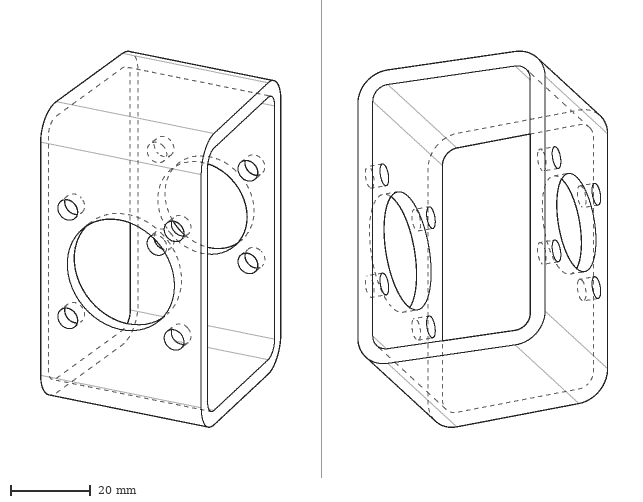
import cadquery as cq

height = 80.0
depth = 50.0
front_width = 45.0
back_width = 40.0
wall = 4.0
outer_radius = 8.0
inner_radius = outer_radius - wall

front_bore = 30.0
back_bore = 25.0
screw_hole = 5.5
front_spacing = 29.8
back_spacing = 25.4

front_y = -depth / 2
back_y = depth / 2


def rounded_bar(size_y, size_z, radius):
    """Solid bar along X, centred on the origin, with rounded long edges."""
    return cq.Workplane("XY").box(front_width, size_y, size_z).edges("|X").fillet(radius)


def tapered_envelope():
    """Trapezoid in XY, wide at the front and narrow at the back."""
    return (
        cq.Workplane("XY")
        .polyline([
            (-front_width / 2, front_y),
            (front_width / 2, front_y),
            (back_width / 2, back_y),
            (-back_width / 2, back_y),
        ])
        .close()
        .extrude(height / 2, both=True)
    )


def wall_cutters(outer_y, bore, spacing):
    """Central bore and four screw holes, running from a wall's outer face to mid-depth."""
    plane = cq.Workplane("XZ")
    length = -outer_y
    bore_cutter = plane.circle(bore / 2).extrude(length)
    screw_cutters = (
        plane.rect(spacing, spacing, forConstruction=True)
        .vertices()
        .circle(screw_hole / 2)
        .extrude(length)
    )
    return bore_cutter.union(screw_cutters)


outer = rounded_bar(depth, height, outer_radius)
cavity = rounded_bar(depth - 2 * wall, height - 2 * wall, inner_radius)
tube = outer.cut(cavity).intersect(tapered_envelope())

result = (
    tube
    .cut(wall_cutters(front_y, front_bore, front_spacing))
    .cut(wall_cutters(back_y, back_bore, back_spacing))
)